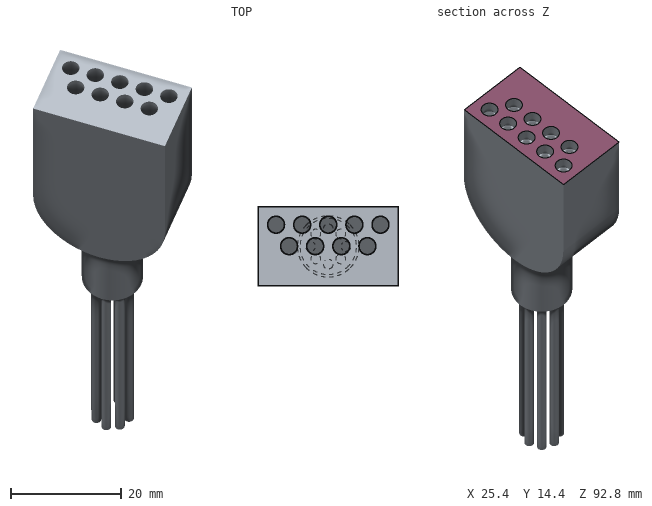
import cadquery as cq

total_height = 92.8
shell_width = 25.4
shell_depth = 14.4
shell_height = 38.25
end_radius = shell_width / 2

sleeve_diameter = 11.1
sleeve_length = 14.7
sleeve_chamfer = 0.5
cable_axis_y = -0.05

wire_count = 8
wire_diameter = 1.8
wire_ring_diameter = 6.4

mouth_diameter = 3.2
mouth_depth = 4.6
bore_diameter = 3.0
socket_depth = 9.3
socket_pitch = 4.7
back_row_count = 5
front_row_count = 4
back_row_y = 3.9
front_row_y = 0.0

shell_bottom = total_height - shell_height
sleeve_bottom = shell_bottom - sleeve_length
end_center = shell_bottom + end_radius


def make_shell():
    profile = (
        cq.Workplane("XZ")
        .moveTo(-end_radius, total_height)
        .lineTo(-end_radius, end_center)
        .threePointArc((0, shell_bottom), (end_radius, end_center))
        .lineTo(end_radius, total_height)
        .close()
    )
    return profile.extrude(shell_depth / 2, both=True)


def make_sleeve():
    return (
        cq.Workplane("XY", origin=(0, cable_axis_y, sleeve_bottom))
        .circle(sleeve_diameter / 2)
        .extrude(end_center - sleeve_bottom)
        .faces("<Z")
        .chamfer(sleeve_chamfer)
    )


def make_wires():
    return (
        cq.Workplane("XY", origin=(0, cable_axis_y, 0))
        .polarArray(wire_ring_diameter / 2, 0, 360, wire_count)
        .circle(wire_diameter / 2)
        .extrude(shell_bottom)
    )


def make_hole_row(count, row_y, diameter, depth):
    return (
        cq.Workplane("XY", origin=(0, row_y, total_height))
        .rarray(socket_pitch, 0.9, count, 1)
        .circle(diameter / 2)
        .extrude(-depth)
    )


def make_socket_row(count, row_y):
    mouths = make_hole_row(count, row_y, mouth_diameter, mouth_depth)
    bores = make_hole_row(count, row_y, bore_diameter, socket_depth)
    return mouths.union(bores)


result = make_shell().union(make_sleeve()).union(make_wires())
result = result.cut(make_socket_row(back_row_count, back_row_y))
result = result.cut(make_socket_row(front_row_count, front_row_y))